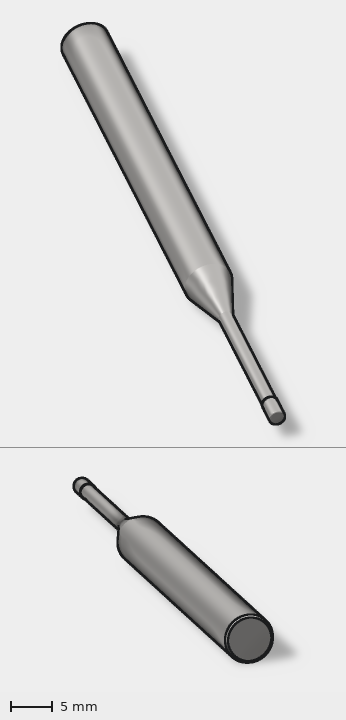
import cadquery as cq

total_length = 75.0
reach_length = 20.0
cone_length = 6.75
head_length = 3.1

shank_diameter = 6.0
neck_diameter = 1.9
head_diameter = 2.0

shank_chamfer = 0.3
head_corner_radius = 0.2

cone_end = total_length - reach_length
shank_length = cone_end - cone_length
neck_length = reach_length - head_length


def cylinder_along_x(start, length, diameter):
    """Cylinder on the X axis beginning at the given position."""
    return cq.Workplane("YZ", origin=(start, 0, 0)).circle(diameter / 2).extrude(length)


shank = cylinder_along_x(0, shank_length, shank_diameter).faces("<X").chamfer(shank_chamfer)

cone = (
    cq.Workplane("YZ", origin=(shank_length, 0, 0))
    .circle(shank_diameter / 2)
    .workplane(offset=cone_length)
    .circle(neck_diameter / 2)
    .loft(ruled=True)
)

neck = cylinder_along_x(cone_end, neck_length, neck_diameter)

head_start = total_length - head_length
head = cylinder_along_x(head_start, head_length, head_diameter).faces(">X").edges().fillet(head_corner_radius)

result = shank.union(cone).union(neck).union(head)